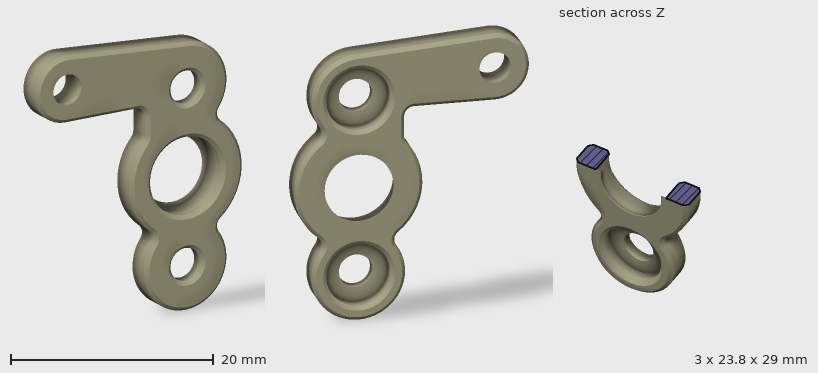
import cadquery as cq
import math

thickness = 3.0
edge_chamfer = 0.4
corner_radius = 1.0

hub_radius = 6.5
hub_bore_diameter = 7.0
hub_seat_diameter = 8.1
lip_thickness = 0.1

lobe_offset = 9.25
lobe_radius = 4.75
screw_hole_diameter = 3.4
counterbore_diameter = 6.5
counterbore_depth = 1.5

arm_end_y = -13.8
arm_end_z = 11.5
arm_end_radius = 3.5
arm_hole_diameter = 3.2
neck_y = -4.65

face_x = -thickness / 2
plate_plane = cq.Plane(origin=(face_x, 0, 0), xDir=(0, 1, 0), normal=(1, 0, 0))


def disc(y, z, radius, height=thickness):
    """Cylinder along +X that starts on the recessed face."""
    return cq.Workplane(plate_plane).center(y, z).circle(radius).extrude(height)


def arm_web():
    """Arm between the upper lobe and the arm end, with the neck down into the ring."""
    run_y = arm_end_y
    run_z = arm_end_z - lobe_offset
    span = math.hypot(run_y, run_z)
    slope = math.atan2(run_z, -run_y) - math.asin((lobe_radius - arm_end_radius) / span)
    normal_y = math.sin(slope)
    normal_z = math.cos(slope)
    arm_bottom_z = arm_end_z - arm_end_radius
    return (
        cq.Workplane(plate_plane)
        .moveTo(0, 0)
        .lineTo(0, lobe_offset)
        .lineTo(lobe_radius * normal_y, lobe_offset + lobe_radius * normal_z)
        .lineTo(arm_end_y + arm_end_radius * normal_y, arm_end_z + arm_end_radius * normal_z)
        .lineTo(arm_end_y, arm_end_z)
        .lineTo(arm_end_y, arm_bottom_z)
        .lineTo(neck_y, arm_bottom_z)
        .lineTo(neck_y, 0)
        .close()
        .extrude(thickness)
    )


def ring_lobe_crossing():
    """Distances (y, z) from the ring centre to where the ring and lobe circles cross."""
    z = (hub_radius**2 - lobe_radius**2 + lobe_offset**2) / (2 * lobe_offset)
    return math.sqrt(hub_radius**2 - z**2), z


def plate_blank():
    """Plate outline with rounded inner corners and both outer rims chamfered."""
    plate = disc(0, 0, hub_radius)
    for z in (-lobe_offset, lobe_offset):
        plate = plate.union(disc(0, z, lobe_radius))
    plate = plate.union(disc(arm_end_y, arm_end_z, arm_end_radius))
    plate = plate.union(arm_web())

    cross_y, cross_z = ring_lobe_crossing()
    inner_corners = [
        (cross_y, cross_z),
        (cross_y, -cross_z),
        (-cross_y, -cross_z),
        (neck_y, math.sqrt(hub_radius**2 - neck_y**2)),
        (neck_y, arm_end_z - arm_end_radius),
    ]
    for y, z in inner_corners:
        corner_edge = cq.selectors.NearestToPointSelector((0, y, z))
        plate = plate.edges("|X").edges(corner_edge).fillet(corner_radius)
    return plate.faces("<X or >X").edges().chamfer(edge_chamfer)


def cone(z, start_x, start_radius, end_radius):
    """Frustum on the lobe centreline, one edge chamfer long that starts at start_x and runs along +X."""
    return (
        cq.Workplane(plate_plane)
        .workplane(offset=start_x - face_x)
        .center(0, z)
        .circle(start_radius)
        .workplane(offset=edge_chamfer)
        .circle(end_radius)
        .loft()
    )


def front_chamfer(z, radius):
    """Cutter that chamfers the mouth of a hole on the recessed face."""
    return cone(z, face_x, radius + edge_chamfer, radius)


def back_chamfer(z, radius):
    """Cutter that chamfers the mouth of a hole on the +X face."""
    return cone(z, -face_x - edge_chamfer, radius, radius + edge_chamfer)


def counterbored_hole(z):
    """Cutter for a screw hole, counterbored on the recessed face and chamfered at both ends."""
    hole_radius = screw_hole_diameter / 2
    counterbore_radius = counterbore_diameter / 2
    return (
        disc(0, z, hole_radius)
        .union(disc(0, z, counterbore_radius, counterbore_depth))
        .union(front_chamfer(z, counterbore_radius))
        .union(back_chamfer(z, hole_radius))
    )


def hub_bore():
    """Cutter for the ring bore: a seat open to the +X face behind a thin retaining lip."""
    seat_radius = hub_seat_diameter / 2
    seat = disc(0, 0, seat_radius).translate((lip_thickness, 0, 0))
    return disc(0, 0, hub_bore_diameter / 2).union(seat).union(back_chamfer(0, seat_radius))


result = plate_blank()
result = result.cut(hub_bore())
result = result.cut(disc(arm_end_y, arm_end_z, arm_hole_diameter / 2))
for lobe_z in (-lobe_offset, lobe_offset):
    result = result.cut(counterbored_hole(lobe_z))